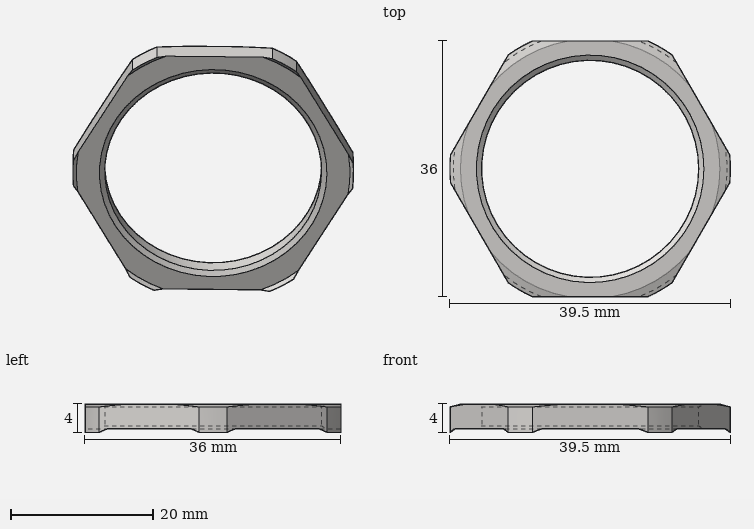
import cadquery as cq
import math

height = 4.0
across_flats = 36.0
corner_diameter = 39.5
bore_diameter = 30.5
countersink_diameter = 32.0
countersink_slope = 30.0
top_face_diameter = 36.5
corner_chamfer_angle = 15.0
foot_height = 0.5
foot_slope_angle = 45.0

corner_radius = corner_diameter / 2
bore_radius = bore_diameter / 2
countersink_radius = countersink_diameter / 2
countersink_depth = (countersink_radius - bore_radius) * math.tan(math.radians(countersink_slope))
top_face_radius = top_face_diameter / 2
corner_chamfer_drop = (corner_radius - top_face_radius) * math.tan(math.radians(corner_chamfer_angle))
recess_radius = corner_radius - foot_height / math.tan(math.radians(foot_slope_angle))


def hexagonal_prism():
    """Hexagon with two flats facing +Y and -Y, standing on Z = 0."""
    side_count = 6
    across_corners = across_flats / math.cos(math.pi / side_count)
    return cq.Workplane("XY").polygon(side_count, across_corners).extrude(height)


def turned_ring():
    """Ring of revolution: bore, countersinks, corner chamfer and dished underside."""
    profile = [
        (bore_radius, foot_height + countersink_depth),
        (countersink_radius, foot_height),
        (recess_radius, foot_height),
        (corner_radius, 0),
        (corner_radius, height - corner_chamfer_drop),
        (top_face_radius, height),
        (countersink_radius, height),
        (bore_radius, height - countersink_depth),
    ]
    return cq.Workplane("XZ").polyline(profile).close().revolve(360, (0, 0, 0), (0, 1, 0))


result = hexagonal_prism().intersect(turned_ring())